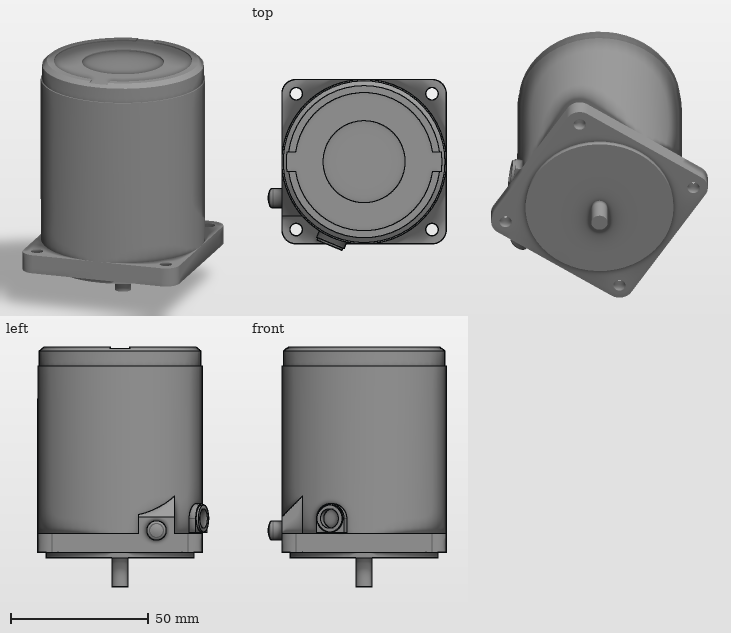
import cadquery as cq
import math

total_height = 87.5
shaft_length = 10.6
pilot_height = 2.0
flange_height = 6.9
cap_height = 6.9
flange_bottom = shaft_length + pilot_height
flange_top = flange_bottom + flange_height
body_top = total_height - cap_height

shaft_diameter = 5.95
pilot_diameter = 54.0
flange_width = 60.0
flange_corner_radius = 5.25
mount_hole_diameter = 4.5
mount_hole_spacing = 49.5

body_diameter = flange_width
cap_diameter = 59.0
cap_chamfer_height = 1.5
cap_chamfer_width = 1.75
recess_diameter = 50.4
recess_depth = 0.5
notch_width = 7.0
dial_diameter = 29.9
dial_depth = 0.6

block_outer_x = -flange_width / 2
block_width = 13.1
block_y = -13.3
block_height = 6.0
block_slope = 45.0
plug_diameter = 7.1
plug_tip_x = -35.0
plug_z = 20.6
plug_dome_diameter = 5.1
plug_dome_height = 0.5
plug_edge_length = 1.2

gland_angle = 22.5
gland_z = 24.9
gland_boss_radius = 5.4
gland_boss_gap = 0.3
gland_boss_reach = 32.1
gland_collar_diameter = 9.9
gland_collar_length = 0.9
gland_bore_diameter = 7.1
gland_bore_depth = 3.15


def cylinder(diameter, bottom, top):
    return cq.Workplane("XY").workplane(offset=bottom).circle(diameter / 2).extrude(top - bottom)


def make_flange():
    flange = (
        cq.Workplane("XY")
        .workplane(offset=flange_bottom)
        .rect(flange_width, flange_width)
        .extrude(flange_height)
        .edges("|Z")
        .fillet(flange_corner_radius)
    )
    return (
        flange.faces(">Z")
        .workplane()
        .rect(mount_hole_spacing, mount_hole_spacing, forConstruction=True)
        .vertices()
        .hole(mount_hole_diameter)
    )


def make_cap():
    """Chamfered cap with a shallow recess, a notch across its rim and a deeper central dial."""
    rim_radius = cap_diameter / 2
    cap = (
        cq.Workplane("XZ")
        .moveTo(0, body_top)
        .lineTo(rim_radius, body_top)
        .lineTo(rim_radius, total_height - cap_chamfer_height)
        .lineTo(rim_radius - cap_chamfer_width, total_height)
        .lineTo(0, total_height)
        .close()
        .revolve(360, (0, 0, 0), (0, 1, 0))
    )

    recess_floor = total_height - recess_depth
    cap = cap.cut(cylinder(recess_diameter, recess_floor, total_height))
    notch = (
        cq.Workplane("XY")
        .workplane(offset=recess_floor)
        .rect(cap_diameter, notch_width)
        .extrude(recess_depth)
    )
    dial = cylinder(dial_diameter, recess_floor - dial_depth, recess_floor)
    return cap.cut(notch).cut(dial)


def make_block():
    """Wedge block that rises at a slope until it meets the housing."""
    block_top = flange_top + block_height
    slope_run = body_diameter / 4
    slope_rise = slope_run * math.tan(math.radians(block_slope))
    inner_x = block_outer_x + slope_run
    return (
        cq.Workplane("XZ", origin=(0, block_y, 0))
        .moveTo(block_outer_x, flange_bottom)
        .lineTo(block_outer_x, block_top)
        .lineTo(inner_x, block_top + slope_rise)
        .lineTo(inner_x, flange_bottom)
        .close()
        .extrude(block_width / 2, both=True)
    )


def make_plug():
    """Round plug with a rounded edge and a slightly domed end, turned about its X axis."""
    radius = plug_diameter / 2
    dome_radius = plug_dome_diameter / 2
    dome_x = plug_tip_x + plug_dome_height
    straight_x = dome_x + plug_edge_length
    sphere_radius = (dome_radius**2 + plug_dome_height**2) / (2 * plug_dome_height)
    half_angle = math.asin(dome_radius / sphere_radius) / 2
    dome_mid = (
        plug_tip_x + sphere_radius * (1 - math.cos(half_angle)),
        sphere_radius * math.sin(half_angle),
    )
    edge_mid = (
        straight_x - plug_edge_length * math.sin(math.pi / 4),
        dome_radius + (radius - dome_radius) * math.sin(math.pi / 4),
    )
    return (
        cq.Workplane("XY", origin=(0, block_y, plug_z))
        .moveTo(plug_tip_x, 0)
        .threePointArc(dome_mid, (dome_x, dome_radius))
        .threePointArc(edge_mid, (straight_x, radius))
        .lineTo(block_outer_x, radius)
        .lineTo(block_outer_x, 0)
        .close()
        .revolve(360, (0, 0, 0), (1, 0, 0))
    )


def turn_gland(shape):
    return shape.rotate((0, 0, 0), (0, 0, 1), -gland_angle)


def make_gland():
    """Arch-shaped boss with a round collar, built facing -Y and then turned."""
    boss_bottom = flange_top + gland_boss_gap
    boss_start = body_diameter / 4
    boss = (
        cq.Workplane("XZ", origin=(0, -boss_start, 0))
        .moveTo(-gland_boss_radius, boss_bottom)
        .lineTo(-gland_boss_radius, gland_z)
        .threePointArc((0, gland_z + gland_boss_radius), (gland_boss_radius, gland_z))
        .lineTo(gland_boss_radius, boss_bottom)
        .close()
        .extrude(gland_boss_reach - boss_start)
    )
    collar = (
        cq.Workplane("XZ", origin=(0, -gland_boss_reach, gland_z))
        .circle(gland_collar_diameter / 2)
        .extrude(gland_collar_length)
    )
    return turn_gland(boss.union(collar))


def make_gland_bore():
    face_reach = gland_boss_reach + gland_collar_length
    bore = (
        cq.Workplane("XZ", origin=(0, -face_reach, gland_z))
        .circle(gland_bore_diameter / 2)
        .extrude(-gland_bore_depth)
    )
    return turn_gland(bore)


result = (
    make_flange()
    .union(cylinder(shaft_diameter, 0, flange_bottom))
    .union(cylinder(pilot_diameter, shaft_length, flange_bottom))
    .union(cylinder(body_diameter, flange_top, body_top))
    .union(make_cap())
    .union(make_block())
    .union(make_plug())
    .union(make_gland())
    .cut(make_gland_bore())
)